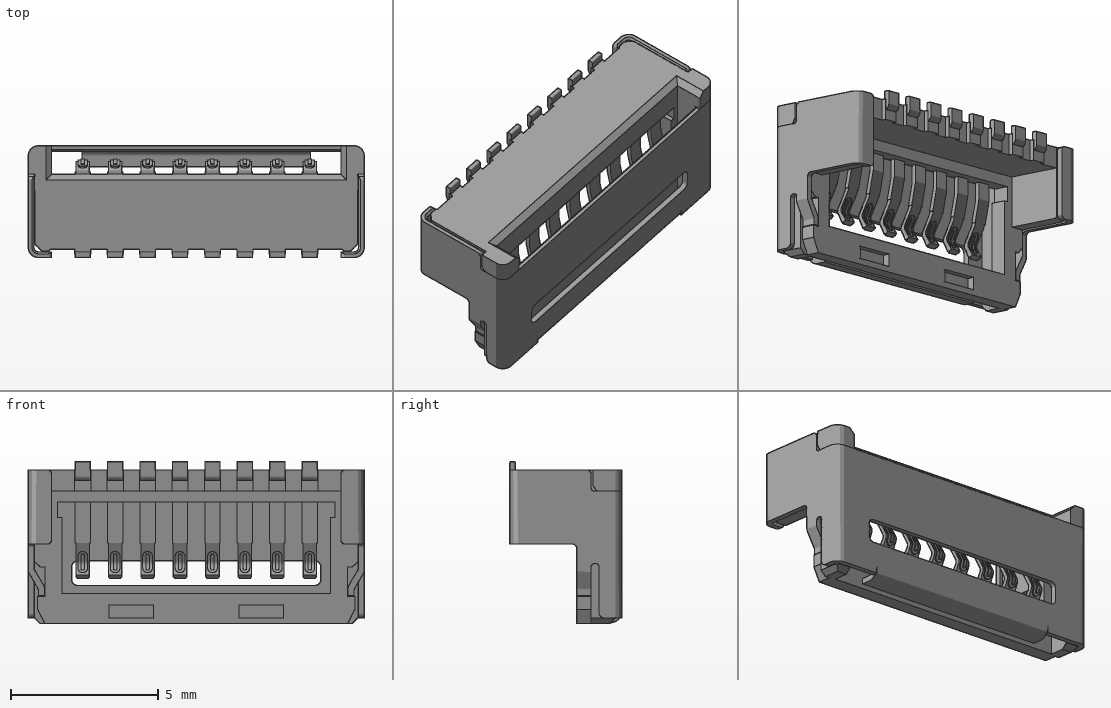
import cadquery as cq

half_length = 5.7
depth = 3.8
top_z = 5.22

nearly_full = 0.99

sheet = 0.2
bend_radius = 0.35
tab_end_x = 4.9
tab_bottom_z = 2.7
back_top_z = 4.5
shell_bottom_z = 0.2
corner_step_y = 2.76
shell_corner_radius = 0.15
step_radius = 0.1
rim_chamfer = 0.07

window_half_x = 4.22
window_bottom_z = 1.3
window_top_z = 2.13
window_radius = 0.2

lip_half_x = 3.88
lip_radius = 0.4
lip_bottom_z = 0.03
lip_front_y = 3.08

latch_slot_back_y = 3.03
latch_slot_top_z = 2.05
latch_inset = 0.35
latch_root_z = 1.98
latch_bend_z = 1.76
latch_foot_z = 1.16
latch_bottom_z = 0.95
latch_bend_radius = 0.25
latch_foot_radius = 0.18
latch_inner_rise = 0.1
latch_gap_radius = 0.17

fit_gap = 0.02
housing_half_x = half_length - sheet - fit_gap
housing_back_y = depth - sheet - fit_gap
block_front_y = 0.285
block_bottom_z = 4.5
frame_front_y = 2.27
slot_front_y = 2.83
slot_half_x = 4.9
slot_bevel = 0.2
bottom_chamfer = 0.19
cheek_bottom_z = 2.75
cheek_radius = 0.15
corner_chamfer = 0.25
corner_pad_front_y = 0.22
corner_pad_end_x = 5.0
corner_pad_slope_x = 4.94
ear_front_chamfer_y = 0.12
ear_front_chamfer_z = 0.18

opening_half_x = 4.555
opening_bottom_z = 1.025
opening_step_z = 3.6
opening_wide_half_x = 4.7
opening_top_z = 4.12

key_center_x = 2.2
key_length = 1.5
key_bottom_z = 0.2
key_height = 0.43
key_depth = 0.25

latch_pocket_x = 5.13
latch_pocket_top_z = 1.92
latch_pocket_bottom_z = 0.92
latch_pocket_bevel_x = 5.28
latch_pocket_bevel_z = 2.1
latch_stop_x = 5.378
latch_stop_z = 0.49

contact_count = 8
pitch = 1.1
contact_width = 0.52
spring_width = 0.46
boss_width = 0.55
boss_front_y = 0.13
tail_top_z = 5.5
tail_thickness = 0.19
tail_bend_z = 5.04
tail_bend_radius = 0.2
tail_end_radius = 0.05
leg_front_y = 2.58
leg_thickness = 0.15
spring_start_z = 3.53
spring_narrow_z = 2.74
spring_mid_y = 2.77
spring_mid_z = 2.66
apex_y = 3.14
apex_z = 2.02
spring_start_radius = 0.5
spring_mid_radius = 0.7
apex_radius = 0.2
tip_y = 2.9
tip_z = 1.53
tip_slant = 0.12
tip_chamfer = 0.06
dimple_center_z = 2.09
dimple_levels = [(0.33, 0.72, 0.05), (0.12, 0.55, 0.09)]


def box(x_min, x_max, y_min, y_max, z_min, z_max):
    size = (x_max - x_min, y_max - y_min, z_max - z_min)
    return cq.Workplane("XY").box(*size, centered=False).translate((x_min, y_min, z_min))


def centered_box(half_x, y_min, y_max, z_min, z_max):
    return box(-half_x, half_x, y_min, y_max, z_min, z_max)


def front_profile(points, y_min, y_max):
    """Prism with an XZ outline between two Y planes."""
    return cq.Workplane("XZ", origin=(0, y_max, 0)).polyline(points).close().extrude(y_max - y_min)


def side_profile(points, half_x):
    """Prism with a YZ outline, centered on X = 0."""
    return cq.Workplane("YZ").polyline(points).close().extrude(half_x, both=True)


def lines_at_height(z, rise=0.0):
    """Selects edges whose center lies between two heights."""
    margin = 0.01
    return cq.selectors.BoxSelector((-half_length, 0, z - margin), (half_length, depth, z + rise + margin))


def lines_near(y, z):
    """Selects edges whose center lies close to a line along X."""
    margin = 0.01
    return cq.selectors.BoxSelector(
        (-half_length, y - margin, z - margin), (half_length, y + margin, z + margin)
    )


def with_mirror(body):
    return body.union(body.mirror("YZ"))


def rounded_column(half_x, y_min, y_max, z_min, z_max, radius):
    return centered_box(half_x, y_min, y_max, z_min, z_max).edges("|Z").fillet(radius)




def shell_wall():
    outer = rounded_column(half_length, 0, depth, shell_bottom_z, top_z, bend_radius)
    inner = rounded_column(
        half_length - sheet, sheet, depth - sheet, shell_bottom_z, top_z, bend_radius - sheet
    )
    wall = outer.cut(inner).cut(centered_box(tab_end_x, 0, sheet, 0, top_z))

    upper = (
        centered_box(half_length, 0, corner_step_y, tab_bottom_z, top_z)
        .edges("|X and >Y and >Z").fillet(shell_corner_radius)
    )
    lower = centered_box(half_length, frame_front_y, depth, shell_bottom_z, back_top_z)
    side_outline = (
        upper.union(lower)
        .edges(lines_near(corner_step_y, back_top_z)).edges("|X").fillet(step_radius)
        .edges(lines_near(frame_front_y, tab_bottom_z)).edges("|X").fillet(shell_corner_radius)
    )
    wall = wall.intersect(side_outline)

    tab_ends = cq.selectors.BoxSelector(
        (-tab_end_x - sheet / 2, -sheet, 0), (tab_end_x + sheet / 2, 2 * sheet, top_z + sheet)
    )
    return wall.edges(tab_ends).edges("|Y").fillet(shell_corner_radius)


def rim_cutter(rim_z, y_min, y_max):
    """Flared plug that breaks the inner top edge of the shell over a range of Y."""
    grown_half_x = half_length - sheet + rim_chamfer
    plug = (
        rounded_column(
            grown_half_x, sheet - rim_chamfer, depth - sheet + rim_chamfer,
            rim_z - rim_chamfer, rim_z, bend_radius - sheet + rim_chamfer,
        )
        .faces("<Z").chamfer(nearly_full * rim_chamfer)
    )
    return plug.intersect(centered_box(half_length, y_min, y_max, 0, top_z))


def window():
    return (
        centered_box(window_half_x, depth - 2 * sheet, depth, window_bottom_z, window_top_z)
        .edges("|Y").fillet(window_radius)
    )


def lip():
    """Quarter bend and flat flange under the shell back."""
    axis_y = depth - lip_radius
    axis_z = lip_bottom_z + lip_radius
    inner_radius = lip_radius - sheet
    diagonal = 0.5 ** 0.5
    return (
        cq.Workplane("YZ")
        .moveTo(depth, axis_z)
        .threePointArc(
            (axis_y + lip_radius * diagonal, axis_z - lip_radius * diagonal), (axis_y, lip_bottom_z)
        )
        .lineTo(lip_front_y, lip_bottom_z)
        .lineTo(lip_front_y, lip_bottom_z + sheet)
        .lineTo(axis_y, lip_bottom_z + sheet)
        .threePointArc(
            (axis_y + inner_radius * diagonal, axis_z - inner_radius * diagonal),
            (axis_y + inner_radius, axis_z),
        )
        .close()
        .extrude(lip_half_x, both=True)
    )


def latch_gap():
    """Opening that frees the latch spring from the left shell end."""
    slot_width = latch_slot_back_y - corner_step_y
    outside_x = -half_length - sheet
    inside_x = -half_length + 2 * sheet
    slot = (
        box(outside_x, inside_x, corner_step_y, latch_slot_back_y, 0, latch_slot_top_z)
        .edges("|X and >Z").fillet(nearly_full * slot_width / 2)
    )
    flare = (
        box(
            outside_x, inside_x, latch_slot_back_y, latch_slot_back_y + latch_gap_radius,
            shell_bottom_z, shell_bottom_z + latch_gap_radius,
        )
        .cut(
            cq.Workplane("YZ", origin=(outside_x, 0, 0))
            .center(latch_slot_back_y + latch_gap_radius, shell_bottom_z + latch_gap_radius)
            .circle(latch_gap_radius).extrude(inside_x - outside_x)
        )
    )
    below_bend = box(outside_x, inside_x, 0, corner_step_y, 0, latch_root_z)
    return slot.union(flare).union(below_bend)


def latch_spring():
    """Strip of the left shell end, bent inward and then down again."""
    outer_x = -half_length
    foot_x = outer_x + latch_inset
    points = [
        (outer_x, latch_root_z),
        (outer_x, latch_bend_z),
        (foot_x, latch_foot_z),
        (foot_x, latch_bottom_z),
        (foot_x + sheet, latch_bottom_z),
        (foot_x + sheet, latch_foot_z + latch_inner_rise),
        (outer_x + sheet, latch_bend_z + latch_inner_rise),
        (outer_x + sheet, latch_root_z),
    ]
    strip = front_profile(points, frame_front_y, corner_step_y)
    bend_lines = lines_at_height(latch_bend_z, latch_inner_rise)
    strip = strip.edges(bend_lines).edges("|Y").fillet(latch_bend_radius)
    foot_lines = lines_at_height(latch_foot_z, latch_inner_rise)
    return strip.edges(foot_lines).edges("|Y").fillet(latch_foot_radius)


def make_shell():
    shell = shell_wall().cut(window())
    shell = shell.cut(rim_cutter(top_z, 0, corner_step_y))
    shell = shell.cut(rim_cutter(back_top_z, corner_step_y + step_radius, depth))
    lip_clearance = centered_box(lip_half_x, depth - sheet, depth, 0, lip_bottom_z + lip_radius)
    shell = shell.cut(lip_clearance).union(lip())
    return shell.cut(with_mirror(latch_gap())).union(with_mirror(latch_spring()))




def upper_block():
    """Block that carries the contact tails, with beveled front corners."""
    block = centered_box(
        housing_half_x - corner_chamfer, block_front_y, slot_front_y, block_bottom_z, top_z
    )
    return block.union(with_mirror(cheek()))


def cheek():
    """End wall behind the folded shell tab: it runs below the block and pads the block corner."""
    outline = [
        (-housing_half_x, slot_front_y),
        (-housing_half_x, corner_pad_front_y + corner_chamfer),
        (corner_chamfer - housing_half_x, corner_pad_front_y),
        (-corner_pad_end_x, corner_pad_front_y),
        (-corner_pad_slope_x, block_front_y),
        (-corner_pad_slope_x, slot_front_y),
    ]
    wall = cq.Workplane("XY", origin=(0, 0, cheek_bottom_z)).polyline(outline).close()
    wall = wall.extrude(top_z - cheek_bottom_z)
    envelope = (
        centered_box(half_length, corner_pad_front_y, depth, cheek_bottom_z, top_z)
        .edges("|X and <Y and <Z").fillet(cheek_radius)
    )
    return wall.intersect(envelope)


def frame_body():
    """Lower body with rounded back corners and a chamfered bottom at the ends and the back."""
    column = (
        centered_box(housing_half_x, frame_front_y, housing_back_y, 0, top_z)
        .edges("|Z and >Y").fillet(bend_radius - sheet)
    )
    end_chamfers = (
        centered_box(housing_half_x, 0, depth, 0, top_z)
        .edges("|Y and <Z").chamfer(bottom_chamfer)
    )
    back_chamfer = (
        centered_box(housing_half_x, 0, housing_back_y, 0, top_z)
        .edges("|X and <Z and >Y").chamfer(bottom_chamfer)
    )
    return column.intersect(end_chamfers).intersect(back_chamfer)


def ears():
    """Top back corner blocks that sit flush with the outside of the shell."""
    ear = (
        box(-half_length, -slot_half_x, slot_front_y, depth, back_top_z, top_z)
        .edges("|Z and <X and >Y").fillet(bend_radius)
    )
    bevel = (
        cq.Workplane("YZ", origin=(-half_length, 0, 0))
        .polyline([
            (slot_front_y, back_top_z),
            (slot_front_y + ear_front_chamfer_y, back_top_z),
            (slot_front_y, back_top_z + ear_front_chamfer_z),
        ])
        .close().extrude(sheet + fit_gap)
    )
    return with_mirror(ear.cut(bevel))


def cable_slot():
    """Slot through the height of the housing, open at the back, with a beveled mouth."""
    slot = centered_box(slot_half_x, slot_front_y, depth, 0, top_z)
    mouth_z = top_z - slot_bevel
    mouth_length = 2 * (depth - slot_front_y)
    mouth = (
        cq.Workplane("XY", origin=(0, depth, mouth_z))
        .rect(2 * slot_half_x, mouth_length)
        .workplane(offset=slot_bevel)
        .rect(2 * (slot_half_x + slot_bevel), mouth_length + 2 * slot_bevel)
        .loft(ruled=True)
    )
    return slot.union(mouth)


def front_opening():
    lower = centered_box(
        opening_half_x, frame_front_y, slot_front_y, opening_bottom_z, opening_step_z
    )
    upper = centered_box(
        opening_wide_half_x, frame_front_y, slot_front_y, opening_step_z, opening_top_z
    )
    return lower.union(upper)


def key_pockets():
    pocket = box(
        -key_center_x - key_length / 2, -key_center_x + key_length / 2,
        frame_front_y, frame_front_y + key_depth, key_bottom_z, key_bottom_z + key_height,
    )
    return with_mirror(pocket)


def latch_pocket():
    """Recess beside each latch spring, with a stop block below the spring."""
    points = [
        (-half_length, latch_pocket_bevel_z),
        (-housing_half_x, latch_pocket_bevel_z),
        (-latch_pocket_bevel_x, latch_pocket_top_z),
        (-latch_pocket_x, latch_pocket_top_z),
        (-latch_pocket_x, latch_pocket_bottom_z),
        (-latch_stop_x, latch_pocket_bottom_z),
        (-latch_stop_x, latch_stop_z),
        (-latch_pocket_x, 0),
        (-half_length, 0),
    ]
    return with_mirror(front_profile(points, frame_front_y, corner_step_y))


def spring_outline(y_shift):
    """Side outline of a contact spring: straight leg, slanted arm, rounded apex and returning tip."""
    front = [
        (leg_front_y, block_bottom_z),
        (leg_front_y, spring_start_z),
        (spring_mid_y, spring_mid_z),
        (apex_y, apex_z),
    ]
    back = [(y + leg_thickness, z) for y, z in reversed(front)]
    tip = [(tip_y, tip_z + tip_slant), (tip_y + leg_thickness, tip_z)]
    return [(y + y_shift, z) for y, z in front + tip + back]


def spring_blank(y_shift):
    """Spring with its wide leg and its narrower arm, clipped at the tip corners."""
    blank = side_profile(spring_outline(y_shift), contact_width / 2)
    for z, radius in (
        (spring_start_z, spring_start_radius),
        (spring_mid_z, spring_mid_radius),
        (apex_z, apex_radius),
    ):
        blank = blank.edges(lines_at_height(z)).edges("|X").fillet(radius)
    wide = centered_box(contact_width / 2, 0, depth, spring_narrow_z, top_z)
    narrow = (
        centered_box(spring_width / 2, 0, depth, tip_z, spring_narrow_z)
        .edges("|Y and <Z").chamfer(tip_chamfer)
    )
    return blank.intersect(wide.union(narrow))


def contact_spring():
    """Spring with an elongated dimple pressed toward the back."""
    spring = spring_blank(0)
    for width, height, rise in dimple_levels:
        dimple = (
            cq.Workplane("XZ", origin=(0, depth, dimple_center_z))
            .slot2D(height, width, 90).extrude(depth)
        )
        spring = spring.cut(dimple).union(spring_blank(rise).intersect(dimple))
    return spring


def contact_tail():
    """Solder tail standing above the block, bent into a boss on the block front."""
    tail_bottom_z = tail_bend_z - tail_bend_radius
    tail = (
        box(-contact_width / 2, contact_width / 2, 0, tail_thickness, tail_bottom_z, tail_top_z)
        .edges("|X and >Z").fillet(tail_end_radius)
    )
    bend = (
        centered_box(contact_width / 2, 0, block_front_y, tail_bottom_z, tail_bend_z)
        .edges("|X and <Y and <Z").fillet(nearly_full * tail_bend_radius)
    )
    upright = tail.intersect(centered_box(contact_width / 2, 0, depth, tail_bend_z, tail_top_z))
    boss = centered_box(boss_width / 2, boss_front_y, block_front_y, block_bottom_z, top_z)
    return upright.union(bend).union(boss)


def make_housing():
    housing = upper_block().union(frame_body())
    housing = housing.union(ears()).cut(cable_slot()).cut(front_opening())
    housing = housing.cut(key_pockets()).cut(latch_pocket())
    contact = contact_tail().union(contact_spring())
    for index in range(contact_count):
        x = (index - (contact_count - 1) / 2) * pitch
        housing = housing.union(contact.translate((x, 0, 0)))
    return housing


shell = make_shell()
housing = make_housing()
result = cq.Compound.makeCompound([*shell.vals(), *housing.vals()])